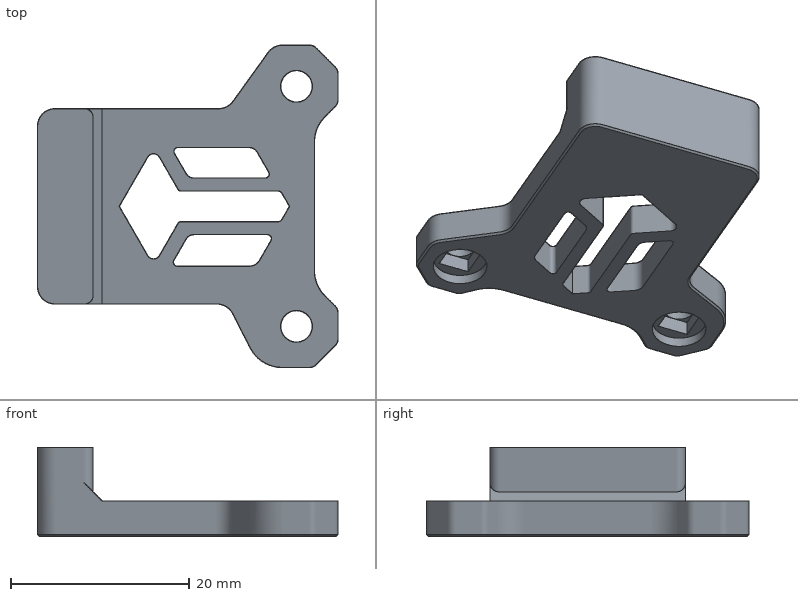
import cadquery as cq
import math

length = 33.75
width = 36.2
height = 10.0

plate_thickness = 4.0
body_width = 21.95
outer_corner_radius = 2.0
base_chamfer = 0.2

wall_thickness = 6.25
wall_corner_radius = 1.0
foot_slope = 1.0

ear_start_x = 21.35
ear_inner_y = 11.5
ear_chamfer = 2.8
back_edge_x = 31.1
ear_tip_radius = 1.1
ear_root_radius = 2.0
web_radius = 4.0
left_ear_lean = 54.3
right_ear_lean = 63.0
left_ear_radius = 2.0
right_ear_radius = 4.1

hole_x = 29.07
hole_y = 13.45
hole_diameter = 3.5
hole_round_depth = 1.05
square_side = 3.55
recess_diameter = 6.0
recess_depth = 1.2

slant = 60.0
arrow_tail_x = 9.2
arrow_tip_x = 28.27
arrow_apex_x = 13.05
shaft_width = 3.4
arrow_apex_radius = 0.75
arrow_corner_radius = 0.45
slot_inner_y = 3.2
slot_inner_start_x = 16.98
left_slot_outer_y = 6.6
left_slot_length = 9.35
left_slot_outer_blunt_radius = 1.0
right_slot_outer_y = 6.7
right_slot_length = 9.6
right_slot_outer_blunt_radius = 1.3
slot_sharp_radius = 0.45
slot_inner_blunt_radius = 1.0


def rounded_prism(corners, depth):
    """Extrude a polygon of (x, y, radius) corners upward, rounding each corner by its radius."""
    solid = cq.Workplane("XY").polyline([(x, y) for x, y, _ in corners]).close().extrude(depth)
    for x, y, radius in corners:
        if radius > 0:
            edge = cq.selectors.NearestToPointSelector((x, y, depth / 2))
            solid = solid.edges("|Z").edges(edge).fillet(radius)
    return solid


def ear_corners(side, lean, tip_radius):
    """Corners of one ear, from its root on the body side round to the back edge."""
    reach = (width - body_width) / 2 / math.tan(math.radians(lean))
    outer_y = width / 2
    tip_depth = length - back_edge_x
    return [
        (ear_start_x, side * body_width / 2, ear_root_radius),
        (ear_start_x + reach, side * outer_y, tip_radius),
        (length - ear_chamfer, side * outer_y, ear_tip_radius),
        (length, side * (outer_y - ear_chamfer), ear_tip_radius),
        (length, side * ear_inner_y, ear_tip_radius),
        (back_edge_x, side * (ear_inner_y - tip_depth), web_radius),
    ]


def make_plate():
    """Plate with both ears, chamfered around its base."""
    right_ear = ear_corners(-1, right_ear_lean, right_ear_radius)
    left_ear = ear_corners(1, left_ear_lean, left_ear_radius)
    outline = [(0, -body_width / 2, outer_corner_radius)]
    outline += right_ear
    outline += reversed(left_ear)
    outline += [(0, body_width / 2, outer_corner_radius)]
    return rounded_prism(outline, plate_thickness).faces("<Z").chamfer(base_chamfer)


def make_wall():
    """Upright wall, standing on the plate, with its sloped foot."""
    half = body_width / 2
    wall = rounded_prism(
        [
            (0, -half, outer_corner_radius),
            (wall_thickness, -half, wall_corner_radius),
            (wall_thickness, half, wall_corner_radius),
            (0, half, outer_corner_radius),
        ],
        height - plate_thickness,
    ).translate((0, 0, plate_thickness))
    foot_inner_x = wall_thickness - wall_corner_radius
    foot_outer_x = wall_thickness + foot_slope
    foot = (
        cq.Workplane("XZ")
        .moveTo(foot_inner_x, plate_thickness)
        .lineTo(foot_outer_x, plate_thickness)
        .lineTo(foot_inner_x, plate_thickness + foot_outer_x - foot_inner_x)
        .close()
        .extrude(half, both=True)
    )
    return wall.union(foot)


def make_screw_holes():
    """Both stepped screw holes as one cutter."""
    centres = [(hole_x, -hole_y), (hole_x, hole_y)]
    spots = cq.Workplane("XY").pushPoints(centres)
    holes = spots.circle(hole_diameter / 2).extrude(plate_thickness)
    squares = spots.rect(square_side, square_side).extrude(plate_thickness - hole_round_depth)
    recesses = spots.circle(recess_diameter / 2).extrude(recess_depth)
    return holes.union(squares).union(recesses)


def make_arrow_window():
    """Double-ended arrow: a diamond head with a pointed shaft."""
    rise = math.tan(math.radians(slant))
    apex_y = (arrow_apex_x - arrow_tail_x) * rise
    half_shaft = shaft_width / 2
    neck_x = arrow_apex_x + (apex_y - half_shaft) / rise
    shoulder_x = arrow_tip_x - half_shaft / rise
    return rounded_prism(
        [
            (arrow_tail_x, 0, 0),
            (arrow_apex_x, -apex_y, arrow_apex_radius),
            (neck_x, -half_shaft, arrow_corner_radius),
            (shoulder_x, -half_shaft, arrow_corner_radius),
            (arrow_tip_x, 0, 0),
            (shoulder_x, half_shaft, arrow_corner_radius),
            (neck_x, half_shaft, arrow_corner_radius),
            (arrow_apex_x, apex_y, arrow_apex_radius),
        ],
        plate_thickness,
    )


def make_slanted_window(side, outer_y, slot_length, outer_blunt_radius):
    """Parallelogram window; side is +1 for the +Y window and -1 for the -Y one."""
    shift = (outer_y - slot_inner_y) / math.tan(math.radians(slant))
    outer_start_x = slot_inner_start_x - shift
    return rounded_prism(
        [
            (slot_inner_start_x, side * slot_inner_y, slot_inner_blunt_radius),
            (slot_inner_start_x + slot_length, side * slot_inner_y, slot_sharp_radius),
            (outer_start_x + slot_length, side * outer_y, outer_blunt_radius),
            (outer_start_x, side * outer_y, slot_sharp_radius),
        ],
        plate_thickness,
    )


left_slot = make_slanted_window(1, left_slot_outer_y, left_slot_length, left_slot_outer_blunt_radius)
right_slot = make_slanted_window(-1, right_slot_outer_y, right_slot_length, right_slot_outer_blunt_radius)

result = (
    make_plate()
    .union(make_wall())
    .cut(make_screw_holes())
    .cut(make_arrow_window())
    .cut(left_slot)
    .cut(right_slot)
)